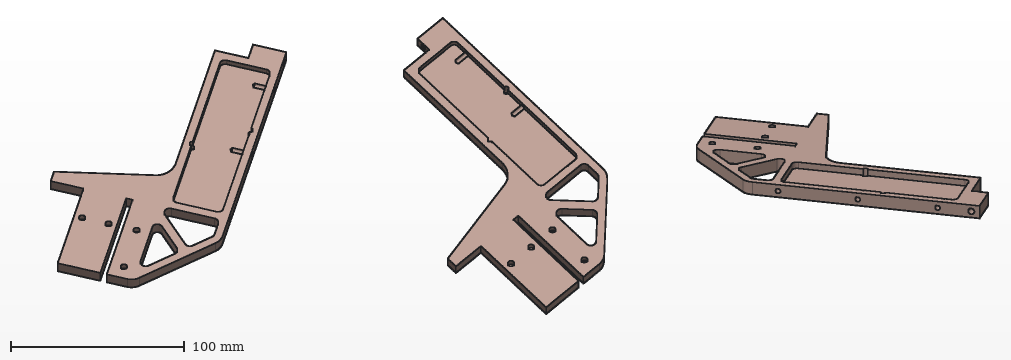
import cadquery as cq
import math

LENGTH = 180.0
WIDTH = 105.8
THICKNESS = 8.0
BEAM_LEFT = 65.9
NOTCH_RIGHT = 85.9
NOTCH_DEPTH = 9.9
ARM_BOTTOM = 55.0
ARM_TIP_HEIGHT = 7.0
ARM_RISE = 15.5
ARM_FILLET = 11.5
LEG_LEFT = 19.6
CORNER_CHAMFER = 40.9
CHAMFER_FILLET = 9.0

SLOT_LEFT = 45.2
SLOT_WIDTH = 3.8

RIM = 4.9
POCKET_WIDTH = 29.9
POCKET_BOTTOM = 60.0
POCKET_LENGTH = 105.1
POCKET_DEPTH = 4.0
INNER_RADIUS = 3.0
POCKET_RIGHT = WIDTH - RIM
POCKET_LEFT = POCKET_RIGHT - POCKET_WIDTH
POCKET_FLOOR = THICKNESS - POCKET_DEPTH

DRILL_DIAMETER = 2.9
DRILL_REACH = 8.3
DRILL_TIP_ANGLE = 118
DRILL_PITCH = 47.5
DRILL_FIRST_Y = POCKET_BOTTOM
DRILL_COUNT = 3

PIN_DIAMETER = 2.7
PIN_POINTS = [(POCKET_RIGHT, 121.1), (POCKET_LEFT, 102.8)]
LEG_HOLE_DIAMETER = 3.6
LEG_HOLE_DEPTH = THICKNESS / 2
LEG_HOLE_ROW = 35.0
LEG_HOLE_POINTS = [(24.5, LEG_HOLE_ROW), (40.3, LEG_HOLE_ROW), (57.0, LEG_HOLE_ROW), (57.0, 8.0)]
CROSS_HOLE_DIAMETER = 3.6

WINDOW_LEFT = 65.2
OUTER_EDGE_DIFFERENCE = 58.0
UPPER_BRACE_SUM = 119.7
LOWER_BRACE_SUM = 111.8


def make_plate():
    arm_tip_top = ARM_BOTTOM + ARM_TIP_HEIGHT
    arm_root = (BEAM_LEFT, arm_tip_top + ARM_RISE)
    chamfer_foot = (WIDTH - CORNER_CHAMFER, 0)
    chamfer_top = (WIDTH, CORNER_CHAMFER)
    outline = [
        (LEG_LEFT, 0),
        chamfer_foot,
        chamfer_top,
        (WIDTH, LENGTH),
        (NOTCH_RIGHT, LENGTH),
        (NOTCH_RIGHT, LENGTH - NOTCH_DEPTH),
        (BEAM_LEFT, LENGTH - NOTCH_DEPTH),
        arm_root,
        (0, arm_tip_top),
        (0, ARM_BOTTOM),
        (LEG_LEFT, ARM_BOTTOM),
    ]
    plate = cq.Workplane("XY").polyline(outline).close().extrude(THICKNESS)
    for corners, radius in (([arm_root], ARM_FILLET), ([chamfer_foot, chamfer_top], CHAMFER_FILLET)):
        for x, y in corners:
            edge = cq.selectors.NearestToPointSelector((x, y, THICKNESS / 2))
            plate = plate.edges("|Z").edges(edge).fillet(radius)
    return plate


def make_block(x, y, z, width, length, height):
    return cq.Workplane("XY").box(width, length, height, centered=False).translate((x, y, z))


def make_window(corners):
    window = cq.Workplane("XY").polyline(corners).close().extrude(THICKNESS)
    return window.edges("|Z").fillet(INNER_RADIUS)


def make_holes(points, diameter, depth):
    holes = cq.Workplane("XY").workplane(offset=THICKNESS - depth)
    return holes.pushPoints(points).circle(diameter / 2).extrude(depth)


def diagonal_crossing(coordinate_sum):
    """Point where a brace edge meets the edge parallel to the chamfer."""
    x = (coordinate_sum + OUTER_EDGE_DIFFERENCE) / 2
    return (x, coordinate_sum - x)


def make_drilling(y):
    """Drilled hole from the right side of the beam, with its conical tip towards -X."""
    radius = DRILL_DIAMETER / 2
    tip_x = POCKET_RIGHT - DRILL_REACH
    shoulder_x = tip_x + radius / math.tan(math.radians(DRILL_TIP_ANGLE / 2))
    half_profile = [(tip_x, 0), (shoulder_x, radius), (WIDTH, radius), (WIDTH, 0)]
    drilling = cq.Workplane("XY").polyline(half_profile).close().revolve(360, (0, 0), (1, 0))
    return drilling.translate((0, y, POCKET_FLOOR))


slot = make_block(SLOT_LEFT, 0, 0, SLOT_WIDTH, ARM_BOTTOM, THICKNESS)
pocket = make_block(POCKET_LEFT, POCKET_BOTTOM, POCKET_FLOOR, POCKET_WIDTH, POCKET_LENGTH, POCKET_DEPTH)
pocket = pocket.edges("|Z").fillet(INNER_RADIUS)

upper_window = make_window([
    (UPPER_BRACE_SUM - ARM_BOTTOM, ARM_BOTTOM),
    (POCKET_RIGHT, ARM_BOTTOM),
    (POCKET_RIGHT, POCKET_RIGHT - OUTER_EDGE_DIFFERENCE),
    diagonal_crossing(UPPER_BRACE_SUM),
])
lower_window = make_window([
    (WINDOW_LEFT, LOWER_BRACE_SUM - WINDOW_LEFT),
    diagonal_crossing(LOWER_BRACE_SUM),
    (WINDOW_LEFT, WINDOW_LEFT - OUTER_EDGE_DIFFERENCE),
])

cross_hole = (
    cq.Workplane("YZ")
    .center(LENGTH - NOTCH_DEPTH / 2, THICKNESS / 2)
    .circle(CROSS_HOLE_DIAMETER / 2)
    .extrude(WIDTH)
)

result = make_plate().cut(slot).cut(pocket).cut(upper_window).cut(lower_window).cut(cross_hole)
result = result.cut(make_holes(PIN_POINTS, PIN_DIAMETER, THICKNESS))
result = result.cut(make_holes(LEG_HOLE_POINTS, LEG_HOLE_DIAMETER, LEG_HOLE_DEPTH))
for index in range(DRILL_COUNT):
    result = result.cut(make_drilling(DRILL_FIRST_Y + index * DRILL_PITCH))